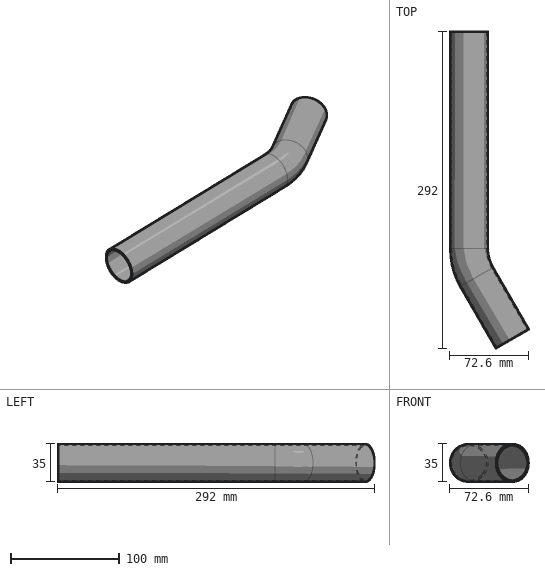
import cadquery as cq
import math

outer_diameter = 35.0
bore_diameter = 32.0
overall_length = 292.0
long_leg = 200.0
bend_radius = 52.5
bend_angle = 30.0

outer_radius = outer_diameter / 2
sin_bend = math.sin(math.radians(bend_angle))
cos_bend = math.cos(math.radians(bend_angle))

short_leg_reach = overall_length - long_leg - (bend_radius + outer_radius) * sin_bend
short_leg = short_leg_reach / cos_bend


def bend_point(angle):
    """Point on the centreline bend, which starts at the origin heading along -Y."""
    turn = math.radians(angle)
    return (bend_radius * (1 - math.cos(turn)), -bend_radius * math.sin(turn))


def centreline():
    """Long leg, tangent bend and short leg in the XY plane."""
    bend_end = bend_point(bend_angle)
    short_leg_end = (
        bend_end[0] + short_leg * sin_bend,
        bend_end[1] - short_leg * cos_bend,
    )
    return (
        cq.Workplane("XY")
        .moveTo(0, long_leg)
        .lineTo(0, 0)
        .threePointArc(bend_point(bend_angle / 2), bend_end)
        .lineTo(*short_leg_end)
    )


result = (
    cq.Workplane("XZ", origin=(0, long_leg, 0))
    .circle(outer_radius)
    .circle(bore_diameter / 2)
    .sweep(centreline())
)